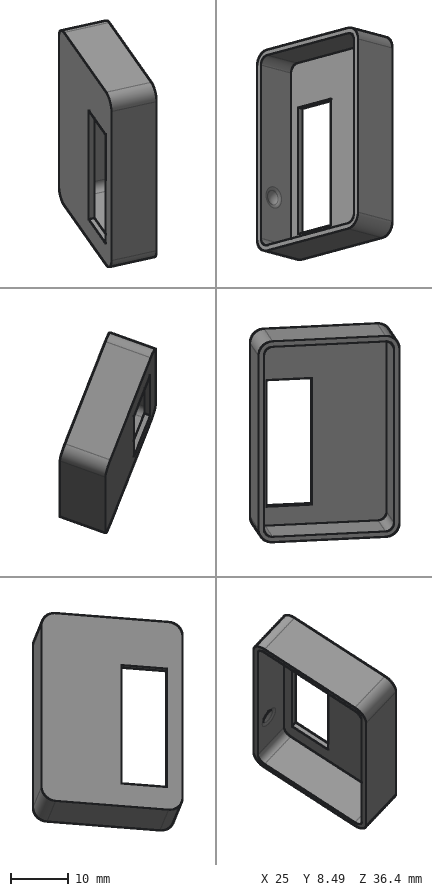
import cadquery as cq
import math

WIDTH = 25.0
DEPTH = 8.49
HEIGHT = 36.36
CORNER_RADIUS = 2.5

WALL = 1.0
FRONT_THICKNESS = 1.09
CAVITY_RADIUS = CORNER_RADIUS - WALL

WINDOW_LEFT = 1.7
WINDOW_RIGHT = 9.75
WINDOW_BOTTOM = -13.77
WINDOW_TOP = 9.1

DIMPLE_Y = 1.1
DIMPLE_Z = -7.65
DIMPLE_RADIUS = 1.9
BOWL_RADIUS = 1.9
RIM_RADIUS = 0.9

FRONT_Y = -DEPTH / 2
CAVITY_FRONT_Y = FRONT_Y + FRONT_THICKNESS
INNER_WALL_X = WIDTH / 2 - WALL


def rounded_block(width, height, radius, y_start, y_end):
    block = cq.Workplane("XY").box(width, y_end - y_start, height)
    return block.edges("|Y").fillet(radius).translate((0, (y_start + y_end) / 2, 0))


def window():
    width = WINDOW_RIGHT - WINDOW_LEFT
    height = WINDOW_TOP - WINDOW_BOTTOM
    centre = ((WINDOW_LEFT + WINDOW_RIGHT) / 2, FRONT_Y, (WINDOW_BOTTOM + WINDOW_TOP) / 2)
    return cq.Workplane("XY").box(width, 2 * FRONT_THICKNESS, height).translate(centre)


def dimple():
    """Solid of revolution about the X axis, drawn as (depth into the wall, distance from the axis)."""
    slope = math.asin(DIMPLE_RADIUS / (BOWL_RADIUS + RIM_RADIUS))
    depth = (BOWL_RADIUS + RIM_RADIUS) * (1 - math.cos(slope))
    bowl_centre = depth - BOWL_RADIUS

    def bowl_point(angle):
        return (bowl_centre + BOWL_RADIUS * math.cos(angle), BOWL_RADIUS * math.sin(angle))

    def rim_point(angle):
        return (RIM_RADIUS * (1 - math.cos(angle)), DIMPLE_RADIUS - RIM_RADIUS * math.sin(angle))

    profile = (
        cq.Workplane("XY")
        .moveTo(0, 0)
        .lineTo(depth, 0)
        .threePointArc(bowl_point(slope / 2), bowl_point(slope))
        .threePointArc(rim_point(slope / 2), rim_point(0))
        .close()
    )
    return profile.revolve(360, (0, 0), (1, 0)).translate((INNER_WALL_X, DIMPLE_Y, DIMPLE_Z))


outer = rounded_block(WIDTH, HEIGHT, CORNER_RADIUS, FRONT_Y, DEPTH / 2)
cavity = rounded_block(WIDTH - 2 * WALL, HEIGHT - 2 * WALL, CAVITY_RADIUS, CAVITY_FRONT_Y, DEPTH / 2)
result = outer.cut(cavity).cut(window()).cut(dimple())